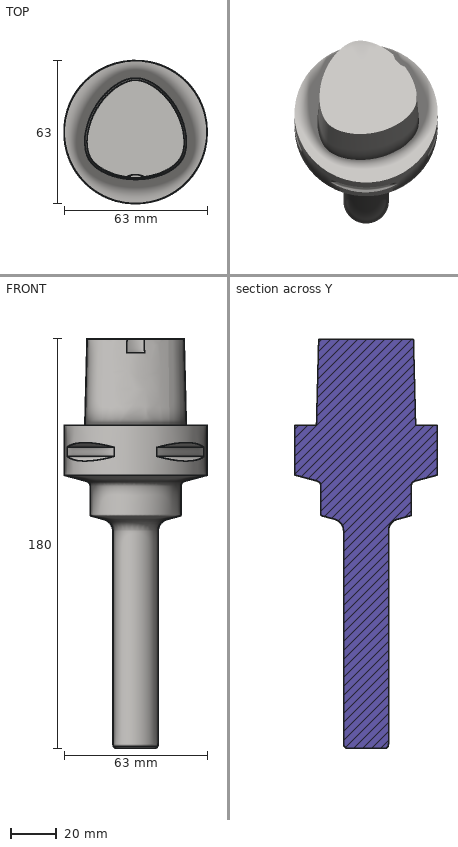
import cadquery as cq
import math

TOTAL_LENGTH = 180.0
TAPER_LENGTH = 38.0
FLANGE_HEIGHT = 22.0
NECK_FOOT_Z = 102.2
FLANGE_TOP = TOTAL_LENGTH - TAPER_LENGTH
FLANGE_BOTTOM = FLANGE_TOP - FLANGE_HEIGHT

FLANGE_RADIUS = 63.0 / 2
NECK_RADIUS = 40.0 / 2
STEM_RADIUS = 20.0 / 2
SHOULDER_ANGLE = 15.0
NECK_FILLET = 2.0
STEM_FILLET = 5.0
NECK_FOOT_FILLET = 0.7
LEAD_IN_WIDTH = 0.2
LEAD_IN_HEIGHT = 1.0
END_CHAMFER = 0.9

TAPER_BASE_RADIUS = 22.3
TAPER_RATIO = 1 / 40
LOBE_HEIGHT = 1.5
LOBE_DIRECTION = 90.0
SIDE_COUNT = 6
SPANS_PER_SIDE = 6

NOTCH_RADIUS = 7.2
NOTCH_DEPTH = 1.3
NOTCH_HEIGHT = 6.1

GROOVE_COUNT = 4
GROOVE_START_ANGLE = 45.0
GROOVE_FLOOR_DISTANCE = 27.9
GROOVE_FLOOR_HEIGHT = 4.0
GROOVE_BEVEL = 30.0
GROOVE_CENTER_Z = 130.3


def make_turned_body():
    """Flange, neck and stem revolved about Z, with conical shoulders."""
    slope = math.tan(math.radians(SHOULDER_ANGLE))
    neck_top = FLANGE_BOTTOM - (FLANGE_RADIUS - NECK_RADIUS) * slope
    stem_top = NECK_FOOT_Z - (NECK_RADIUS - STEM_RADIUS) * slope
    lead_in_radius = STEM_RADIUS - LEAD_IN_WIDTH
    body = (
        cq.Workplane("XZ")
        .moveTo(0, 0)
        .lineTo(lead_in_radius - END_CHAMFER, 0)
        .lineTo(lead_in_radius, END_CHAMFER)
        .lineTo(STEM_RADIUS, END_CHAMFER + LEAD_IN_HEIGHT)
        .lineTo(STEM_RADIUS, stem_top)
        .lineTo(NECK_RADIUS, NECK_FOOT_Z)
        .lineTo(NECK_RADIUS, neck_top)
        .lineTo(FLANGE_RADIUS, FLANGE_BOTTOM)
        .lineTo(FLANGE_RADIUS, FLANGE_TOP)
        .lineTo(0, FLANGE_TOP)
        .close()
        .revolve(360, (0, 0, 0), (0, 1, 0))
    )
    body = fillet_corner(body, STEM_RADIUS, stem_top, STEM_FILLET)
    body = fillet_corner(body, NECK_RADIUS, NECK_FOOT_Z, NECK_FOOT_FILLET)
    return fillet_corner(body, NECK_RADIUS, neck_top, NECK_FILLET)


def fillet_corner(body, radius, z, fillet):
    """Round the circular corner of the given radius at height z."""
    margin = 0.2
    reach = radius + margin
    corner = cq.selectors.BoxSelector(
        (-reach, -reach, z - margin), (reach, reach, z + margin), boundingbox=True
    )
    return body.edges(corner).fillet(fillet)


def lobed_point(mean_radius, angle):
    """Point of the lobed outline whose outward normal points along angle (degrees)."""
    normal = math.radians(angle)
    phase = 3 * math.radians(angle - LOBE_DIRECTION)
    support = mean_radius + LOBE_HEIGHT * math.cos(phase)
    support_slope = -3 * LOBE_HEIGHT * math.sin(phase)
    x = support * math.cos(normal) - support_slope * math.sin(normal)
    y = support * math.sin(normal) + support_slope * math.cos(normal)
    return cq.Vector(x, y, 0)


def lobed_outline(mean_radius, z):
    """Closed wire of equal curved sides joined tangentially."""
    side_angle = 360 / SIDE_COUNT
    sides = []
    for side in range(SIDE_COUNT):
        start = side * side_angle
        end = start + side_angle
        points = []
        for step in range(SPANS_PER_SIDE + 1):
            angle = start + side_angle * step / SPANS_PER_SIDE
            points.append(lobed_point(mean_radius, angle) + cq.Vector(0, 0, z))
        tangents = []
        for angle in (start, end):
            normal = math.radians(angle)
            tangents.append(cq.Vector(-math.sin(normal), math.cos(normal), 0))
        sides.append(cq.Edge.makeSpline(points, tangents=tangents))
    return cq.Wire.assembleEdges(sides)


TAPER_TOP_RADIUS = TAPER_BASE_RADIUS - TAPER_LENGTH * TAPER_RATIO


def make_taper():
    base = lobed_outline(TAPER_BASE_RADIUS, FLANGE_TOP)
    top = lobed_outline(TAPER_TOP_RADIUS, TOTAL_LENGTH)
    return cq.Workplane(cq.Solid.makeLoft([base, top], True))


def make_notch_cutter():
    flat_y = lobed_point(TAPER_TOP_RADIUS, LOBE_DIRECTION + 180).y
    center_y = flat_y + NOTCH_DEPTH - NOTCH_RADIUS
    return (
        cq.Workplane("XY", origin=(0, center_y, TOTAL_LENGTH - NOTCH_HEIGHT))
        .circle(NOTCH_RADIUS)
        .extrude(NOTCH_HEIGHT)
    )


def make_groove_cutter():
    """Trapezoidal bar across the +X side, widening outwards."""
    depth = FLANGE_RADIUS - GROOVE_FLOOR_DISTANCE
    floor_half = GROOVE_FLOOR_HEIGHT / 2
    mouth_half = floor_half + depth * math.tan(math.radians(GROOVE_BEVEL))
    return (
        cq.Workplane("XZ")
        .moveTo(GROOVE_FLOOR_DISTANCE, GROOVE_CENTER_Z - floor_half)
        .lineTo(FLANGE_RADIUS, GROOVE_CENTER_Z - mouth_half)
        .lineTo(FLANGE_RADIUS, GROOVE_CENTER_Z + mouth_half)
        .lineTo(GROOVE_FLOOR_DISTANCE, GROOVE_CENTER_Z + floor_half)
        .close()
        .extrude(FLANGE_RADIUS, both=True)
    )


result = make_turned_body().union(make_taper()).cut(make_notch_cutter())
for index in range(GROOVE_COUNT):
    groove_angle = GROOVE_START_ANGLE + index * 360 / GROOVE_COUNT
    groove = make_groove_cutter().rotate((0, 0, 0), (0, 0, 1), groove_angle)
    result = result.cut(groove)